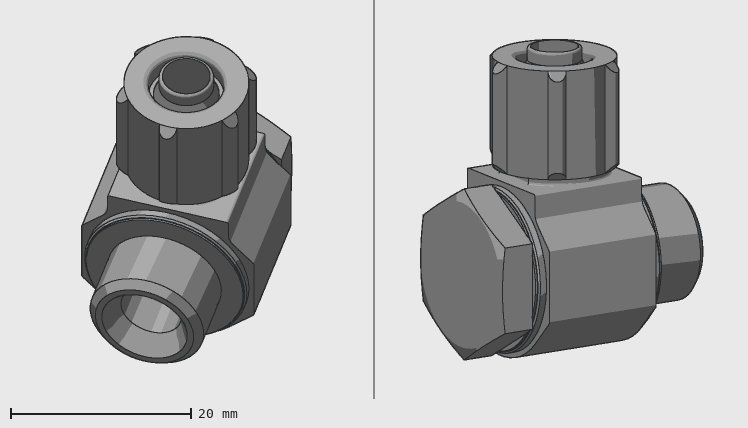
import cadquery as cq
import math


BODY_RADIUS = 10.0
SEAT_HEIGHT = 10.0
BODY_HALF_LENGTH = 7.0
SHOULDER_HALF_WIDTH = 7.0
SHOULDER_BLEND = 2.0
BODY_CORNER_BLEND = 0.5
SEAT_EDGE_BLEND = 0.25

COLLAR_RADIUS = 18.8 / 2
WASHER_RADIUS = 18.2 / 2
COLLAR_END = 8.0
COLLAR_CHAMFER = 0.2
WASHER_END = 8.25

HEAD_SIDES = 6
HEAD_ACROSS_FLATS = 17.0
HEAD_END = 12.25
HEAD_CHAMFER_DEPTH = 0.4
HEAD_FACE_RADIUS = 8.3
STUB_RADIUS = 13.16 / 2
STUB_END = 15.85
STUB_CHAMFER = 0.88

MOUTH_RADIUS = 9.9 / 2
BORE_RADIUS = 7.0 / 2
MOUTH_HALF_ANGLE = 30.0
BORE_END = 3.5
DRILL_TIP_HALF_ANGLE = 59.0

NECK_RADIUS = 6.05
NECK_FLAT_OFFSET = 5.28
NECK_BLEND = 0.3

NUT_BOTTOM = 11.0
NUT_TOP = 23.45
NUT_RADIUS = 6.93
RIB_COUNT = 6
RIB_RADIUS = 1.0
NUT_BORE_RADIUS = 8.35 / 2
NUT_BORE_BLEND = 0.575
NUT_BORE_DEPTH = 2.0

SPIGOT_TOP = 24.5
SPIGOT_RADIUS = 6.1 / 2
SPIGOT_TIP_BLEND = 0.3
SPIGOT_HOLE_RADIUS = 5.3 / 2
BARB_RADIUS = 7.3 / 2
BARB_TOP = 23.0
BARB_LENGTH = 1.4


def cylinder_y(radius, y_start, y_end):
    """Solid cylinder on the bolt axis."""
    plane = cq.Workplane("XZ", origin=(0, y_end, 0))
    return plane.circle(radius).extrude(y_end - y_start)


def cylinder_z(radius, z_start, z_end):
    """Solid cylinder on the hose axis."""
    return cq.Workplane("XY", origin=(0, 0, z_start)).circle(radius).extrude(z_end - z_start)


def turned_about_y(points):
    """Solid of revolution about the bolt axis from (radius, y) points."""
    return cq.Workplane("XY").polyline(points).close().revolve(360, (0, 0, 0), (0, 1, 0))


def turned_about_z(points):
    """Solid of revolution about the hose axis from (radius, z) points."""
    return cq.Workplane("XZ").polyline(points).close().revolve(360, (0, 0, 0), (0, 1, 0))


def ring_body():
    """Round-bottomed body with flat sides, 45 degree shoulders and a square seat on top."""
    tangent = BODY_RADIUS * math.sqrt(0.5)
    corner_z = BODY_RADIUS * (math.sqrt(2) - 1)
    shoulder_z = BODY_RADIUS * math.sqrt(2) - SHOULDER_HALF_WIDTH
    outline = (
        cq.Workplane("XZ", origin=(0, BODY_HALF_LENGTH, 0))
        .moveTo(-tangent, -tangent)
        .threePointArc((0, -BODY_RADIUS), (tangent, -tangent))
        .lineTo(BODY_RADIUS, -corner_z)
        .lineTo(BODY_RADIUS, corner_z)
        .lineTo(SHOULDER_HALF_WIDTH, shoulder_z)
        .lineTo(SHOULDER_HALF_WIDTH, SEAT_HEIGHT)
        .lineTo(-SHOULDER_HALF_WIDTH, SEAT_HEIGHT)
        .lineTo(-SHOULDER_HALF_WIDTH, shoulder_z)
        .lineTo(-BODY_RADIUS, corner_z)
        .lineTo(-BODY_RADIUS, -corner_z)
        .close()
    )
    body = outline.extrude(2 * BODY_HALF_LENGTH)

    def edges_at(half_width, z_middle):
        """Pick the lengthwise edges near one height, within a given half width."""
        reach = 0.1
        low = (-half_width - reach, -BODY_HALF_LENGTH - reach, z_middle - reach)
        high = (half_width + reach, BODY_HALF_LENGTH + reach, z_middle + reach)
        return cq.selectors.BoxSelector(low, high, boundingbox=True)

    body = body.edges("|Y").edges(edges_at(SHOULDER_HALF_WIDTH, shoulder_z)).fillet(SHOULDER_BLEND)
    body = body.edges("|Y").edges(edges_at(SHOULDER_HALF_WIDTH, SEAT_HEIGHT)).fillet(SEAT_EDGE_BLEND)
    for z_middle in (-corner_z, corner_z):
        body = body.edges("|Y").edges(edges_at(BODY_RADIUS, z_middle)).fillet(BODY_CORNER_BLEND)
    return body


def collars():
    """Chamfered collar and thin washer face, the same at both ends of the body."""
    collar = cylinder_y(COLLAR_RADIUS, -COLLAR_END, COLLAR_END).edges().chamfer(COLLAR_CHAMFER)
    return collar.union(cylinder_y(WASHER_RADIUS, -WASHER_END, WASHER_END))


def bolt_head():
    """Hexagon head with its outer corners turned down to a shallow cone."""
    corner_radius = HEAD_ACROSS_FLATS / 2 / math.cos(math.pi / HEAD_SIDES)
    hexagon = (
        cq.Workplane("XZ", origin=(0, HEAD_END, 0))
        .transformed(rotate=(0, 0, 90))
        .polygon(HEAD_SIDES, 2 * corner_radius)
        .extrude(HEAD_END - WASHER_END)
    )
    blank = turned_about_y([
        (0, WASHER_END),
        (corner_radius, WASHER_END),
        (corner_radius, HEAD_END - HEAD_CHAMFER_DEPTH),
        (HEAD_FACE_RADIUS, HEAD_END),
        (0, HEAD_END),
    ])
    return hexagon.intersect(blank)


def bolt_stub():
    """Front stub with a chamfered end."""
    return cylinder_y(STUB_RADIUS, -STUB_END, 0).faces("<Y").edges().chamfer(STUB_CHAMFER)


def bolt_bore():
    """Tapered mouth leading into a blind bore with a drill-point end."""
    mouth_end = -STUB_END + (MOUTH_RADIUS - BORE_RADIUS) / math.tan(math.radians(MOUTH_HALF_ANGLE))
    tip_end = BORE_END + BORE_RADIUS / math.tan(math.radians(DRILL_TIP_HALF_ANGLE))
    return turned_about_y([
        (0, -STUB_END),
        (MOUTH_RADIUS, -STUB_END),
        (BORE_RADIUS, mouth_end),
        (BORE_RADIUS, BORE_END),
        (0, tip_end),
    ])


def neck():
    """Short round neck with two flats and a blended foot."""
    slab = cq.Workplane("XY").box(2 * NECK_RADIUS, 2 * NECK_FLAT_OFFSET, 2 * NUT_BOTTOM)
    return cylinder_z(NECK_RADIUS, SEAT_HEIGHT, NUT_BOTTOM).intersect(slab)


def union_nut():
    """Round nut with grip ribs bevelled at both ends and a rounded hose opening."""
    nut = cylinder_z(NUT_RADIUS, NUT_BOTTOM, NUT_TOP)
    for index in range(RIB_COUNT):
        angle = math.radians(90 + index * 360 / RIB_COUNT)
        rib = cylinder_z(RIB_RADIUS, NUT_BOTTOM, NUT_TOP)
        nut = nut.union(rib.translate((NUT_RADIUS * math.cos(angle), NUT_RADIUS * math.sin(angle), 0)))
    envelope = cylinder_z(NUT_RADIUS + RIB_RADIUS, NUT_BOTTOM, NUT_TOP).edges().chamfer(RIB_RADIUS)
    nut = nut.intersect(envelope)
    opening = cylinder_z(NUT_BORE_RADIUS, NUT_TOP - NUT_BORE_DEPTH, NUT_TOP)
    nut = nut.cut(opening)
    rim = cq.selectors.RadiusNthSelector(0)
    return nut.faces(">Z").edges(rim).fillet(NUT_BORE_BLEND)


def hose_spigot():
    """Spigot tube with a rounded tip and a conical barb inside the nut opening."""
    barb_base = BARB_TOP - BARB_LENGTH
    spigot = turned_about_z([
        (0, NUT_BOTTOM),
        (BARB_RADIUS, NUT_BOTTOM),
        (BARB_RADIUS, barb_base),
        (SPIGOT_RADIUS, BARB_TOP),
        (SPIGOT_RADIUS, SPIGOT_TOP),
        (0, SPIGOT_TOP),
    ])
    return spigot.faces(">Z").edges().fillet(SPIGOT_TIP_BLEND)


def body_with_neck():
    """Body and neck joined by a small blend around the foot of the neck."""
    body = ring_body().union(neck())
    margin = 0.05
    foot = cq.selectors.BoxSelector(
        (-NECK_RADIUS - margin, -NECK_FLAT_OFFSET - margin, SEAT_HEIGHT - margin),
        (NECK_RADIUS + margin, NECK_FLAT_OFFSET + margin, SEAT_HEIGHT + margin),
        boundingbox=True,
    )
    return body.edges(foot).fillet(NECK_BLEND)


result = (
    body_with_neck()
    .union(collars())
    .union(bolt_head())
    .union(bolt_stub())
    .union(union_nut())
    .union(hose_spigot())
    .cut(bolt_bore())
    .cut(cylinder_z(SPIGOT_HOLE_RADIUS, 0, SPIGOT_TOP))
)